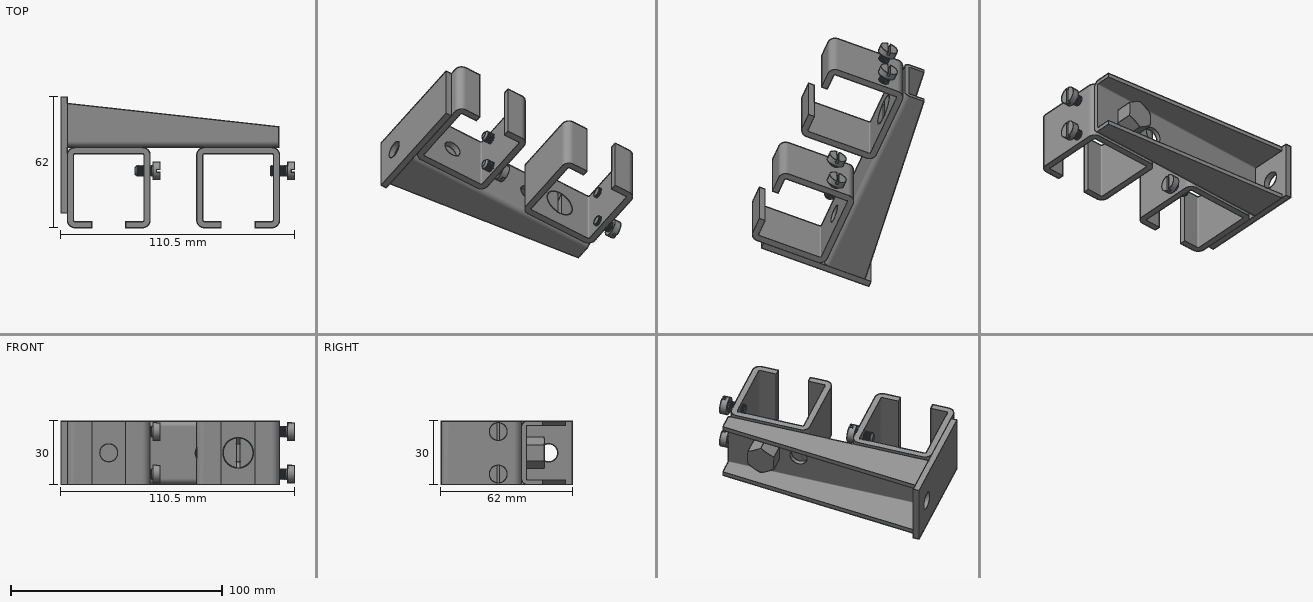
import cadquery as cq
import math

HEIGHT = 30.0
MID_Z = HEIGHT / 2
STRIP = 3.0
BOLT_HOLE = 8.5

TRACK_WIDTH = 39.2
TRACK_DEPTH = 38.0
TRACK_OUTER_RADIUS = 3.6
TRACK_MOUTH = 16.0
TRACK_PITCH = 61.2
LEFT_TRACK_X = STRIP
RIGHT_TRACK_X = LEFT_TRACK_X + TRACK_PITCH

PLATE_LENGTH = 55.0
REAR_Y = 62.0
PLATE_HOLE_FROM_REAR = 11.2

CHANNEL_LENGTH = 100.1
CHANNEL_STRIP = 2.2
CHANNEL_BEND_RADIUS = 2.8
CHANNEL_DEPTH_AT_PLATE = 20.9
CHANNEL_DEPTH_AT_TIP = 9.8
SPARE_HOLE_X = 67.8

HEAD_DIAMETER = 14.0
COUNTERSINK_DIAMETER = 14.5
BOLT_SLOT_WIDTH = 1.8
BOLT_LENGTH = 13.8
NUT_ACROSS_FLATS = 13.0
NUT_CHAMFER_ANGLE = 15

SCREW_HEAD_DIAMETER = 8.4
SCREW_HEAD_HEIGHT = 3.3
SCREW_SLOT_WIDTH = 1.2
SCREW_SLOT_DEPTH = 1.5
THREAD_DIAMETER = 5.0
THREAD_PITCH = 0.8
THREAD_DEPTH = 0.4
LEFT_SCREW_LENGTH = 8.6
LEFT_SCREW_TIP_CHAMFER = 1.0
RIGHT_SCREW_LENGTH = 8.0
RIGHT_SCREW_TIP_CHAMFER = 0.3
LEFT_SCREW_END_X = 46.8
RIGHT_SCREW_END_X = 110.5
SCREW_Z_OFFSET = 10.0
SCREW_BELOW_TRACK_BACK = 11.0

TRACK_BACK_Y = TRACK_DEPTH
SCREW_Y = TRACK_BACK_Y - SCREW_BELOW_TRACK_BACK
SCREW_ZS = [MID_Z - SCREW_Z_OFFSET, MID_Z + SCREW_Z_OFFSET]
LEFT_HOLE_X = LEFT_TRACK_X + TRACK_WIDTH / 2
CLAMP_X = RIGHT_TRACK_X + TRACK_WIDTH / 2
WEB_REAR_Y = TRACK_BACK_Y + CHANNEL_STRIP
BOLT_FACE_Y = TRACK_BACK_Y - STRIP
BOLT_END_Y = BOLT_FACE_Y + BOLT_LENGTH


def rod_along_y(x, y_start, length, diameter):
    """Cylinder at mid-height, running toward +Y from y_start."""
    rod = cq.Solid.makeCylinder(diameter / 2, length, cq.Vector(x, y_start, MID_Z), cq.Vector(0, 1, 0))
    return cq.Workplane(rod)


def rod_along_x(x_start, y, z, length, diameter):
    """Cylinder running toward +X from x_start."""
    rod = cq.Solid.makeCylinder(diameter / 2, length, cq.Vector(x_start, y, z), cq.Vector(1, 0, 0))
    return cq.Workplane(rod)


def countersunk_cone(diameter):
    """Cone widest at the inner face of the right track and narrowing to the bolt hole through its wall."""
    cone = cq.Solid.makeCone(
        diameter / 2, BOLT_HOLE / 2, STRIP, cq.Vector(CLAMP_X, BOLT_FACE_Y, MID_Z), cq.Vector(0, 1, 0)
    )
    return cq.Workplane(cone)


def make_end_plate():
    plate = cq.Workplane().box(STRIP, PLATE_LENGTH, HEIGHT, centered=False)
    plate = plate.translate((0, REAR_Y - PLATE_LENGTH, 0))
    return plate.cut(rod_along_x(0, REAR_Y - PLATE_HOLE_FROM_REAR, MID_Z, STRIP, BOLT_HOLE))


def make_channel():
    """U channel: a web against the tracks and two flanges that taper toward the free end."""
    depth = CHANNEL_DEPTH_AT_PLATE
    outer = cq.Workplane().box(CHANNEL_LENGTH, depth, HEIGHT, centered=False)
    outer = outer.edges("|X and <Y").fillet(CHANNEL_BEND_RADIUS)
    inner = cq.Workplane().box(CHANNEL_LENGTH, depth, HEIGHT - 2 * CHANNEL_STRIP, centered=False)
    inner = inner.edges("|X and <Y").fillet(CHANNEL_BEND_RADIUS - CHANNEL_STRIP)
    channel = outer.cut(inner.translate((0, CHANNEL_STRIP, CHANNEL_STRIP)))
    taper = (
        cq.Workplane()
        .polyline([(0, depth), (CHANNEL_LENGTH, CHANNEL_DEPTH_AT_TIP), (CHANNEL_LENGTH, depth)])
        .close()
        .extrude(HEIGHT)
    )
    channel = channel.cut(taper).translate((STRIP, TRACK_BACK_Y, 0))
    for hole_x in (SPARE_HOLE_X, CLAMP_X):
        channel = channel.cut(rod_along_y(hole_x, TRACK_BACK_Y, CHANNEL_STRIP, BOLT_HOLE))
    return channel


def make_track(left_x):
    """C-shaped track with its mouth toward -Y and two screw holes through its +X wall."""
    outer = cq.Workplane().box(TRACK_WIDTH, TRACK_DEPTH, HEIGHT, centered=False)
    outer = outer.edges("|Z").fillet(TRACK_OUTER_RADIUS)
    inner = cq.Workplane().box(TRACK_WIDTH - 2 * STRIP, TRACK_DEPTH - 2 * STRIP, HEIGHT, centered=False)
    inner = inner.edges("|Z").fillet(TRACK_OUTER_RADIUS - STRIP)
    mouth = cq.Workplane().box(TRACK_MOUTH, STRIP, HEIGHT, centered=False)
    track = outer.cut(inner.translate((STRIP, STRIP, 0)))
    track = track.cut(mouth.translate(((TRACK_WIDTH - TRACK_MOUTH) / 2, 0, 0))).translate((left_x, 0, 0))
    wall_x = left_x + TRACK_WIDTH - STRIP
    for z in SCREW_ZS:
        track = track.cut(rod_along_x(wall_x, SCREW_Y, z, STRIP, THREAD_DIAMETER))
    return track


def make_clamp_bolt():
    """Slotted countersunk bolt carrying a hexagonal nut behind the web of the channel."""
    shank = rod_along_y(CLAMP_X, BOLT_FACE_Y + STRIP, BOLT_LENGTH - STRIP, BOLT_HOLE)
    slot = cq.Workplane().box(BOLT_SLOT_WIDTH, STRIP, HEAD_DIAMETER, centered=(True, False, True))
    head = countersunk_cone(HEAD_DIAMETER).cut(slot.translate((CLAMP_X, BOLT_FACE_Y, MID_Z)))

    flat_count = 6
    half_flat_angle = 180 / flat_count
    nut_height = BOLT_END_Y - WEB_REAR_Y
    across_corners = NUT_ACROSS_FLATS / math.cos(math.radians(half_flat_angle))
    nut = cq.Workplane().polygon(flat_count, across_corners).extrude(nut_height)
    nut = nut.rotate((0, 0, 0), (0, 0, 1), half_flat_angle)
    flat_radius = NUT_ACROSS_FLATS / 2
    corner_radius = across_corners / 2
    chamfer_drop = (corner_radius - flat_radius) * math.tan(math.radians(NUT_CHAMFER_ANGLE))
    turned_blank = (
        cq.Workplane("XZ")
        .polyline([
            (0, 0), (corner_radius, 0), (corner_radius, nut_height - chamfer_drop),
            (flat_radius, nut_height), (0, nut_height),
        ])
        .close()
        .revolve(360, (0, 0, 0), (0, 1, 0))
    )
    nut = nut.intersect(turned_blank)
    nut = nut.rotate((0, 0, 0), (1, 0, 0), -90).translate((CLAMP_X, WEB_REAR_Y, MID_Z))
    return shank.union(nut).union(head)


def make_screw(end_x, z, length, tip_chamfer):
    """Cheese-head screw along X: slotted head at +X, ring-grooved thread and chamfered tip at -X."""
    radius = THREAD_DIAMETER / 2
    outline = [(-length, 0), (-length, radius - tip_chamfer), (-length + tip_chamfer, radius)]
    groove_count = int((length - tip_chamfer) / THREAD_PITCH)
    for i in range(groove_count):
        groove_x = -length + tip_chamfer + i * THREAD_PITCH
        outline += [
            (groove_x + THREAD_PITCH / 2, radius - THREAD_DEPTH),
            (groove_x + THREAD_PITCH, radius),
        ]
    outline += [
        (0, radius), (0, SCREW_HEAD_DIAMETER / 2),
        (SCREW_HEAD_HEIGHT, SCREW_HEAD_DIAMETER / 2), (SCREW_HEAD_HEIGHT, 0),
    ]
    screw = cq.Workplane().polyline(outline).close().revolve(360, (0, 0, 0), (1, 0, 0))
    slot = cq.Workplane().box(
        SCREW_SLOT_DEPTH, SCREW_SLOT_WIDTH, SCREW_HEAD_DIAMETER, centered=(False, True, True)
    )
    screw = screw.cut(slot.translate((SCREW_HEAD_HEIGHT - SCREW_SLOT_DEPTH, 0, 0)))
    return screw.translate((end_x - SCREW_HEAD_HEIGHT, SCREW_Y, z))


end_plate = make_end_plate()
channel = make_channel()
left_track = make_track(LEFT_TRACK_X).cut(rod_along_y(LEFT_HOLE_X, BOLT_FACE_Y, STRIP, BOLT_HOLE))
right_track = make_track(RIGHT_TRACK_X).cut(countersunk_cone(COUNTERSINK_DIAMETER))
clamp_bolt = make_clamp_bolt()
screws = []
for screw_z in SCREW_ZS:
    screws.append(make_screw(LEFT_SCREW_END_X, screw_z, LEFT_SCREW_LENGTH, LEFT_SCREW_TIP_CHAMFER))
    screws.append(make_screw(RIGHT_SCREW_END_X, screw_z, RIGHT_SCREW_LENGTH, RIGHT_SCREW_TIP_CHAMFER))

bodies = [end_plate, channel, left_track, right_track, clamp_bolt, *screws]
result = cq.Compound.makeCompound([body.solids().val() for body in bodies])